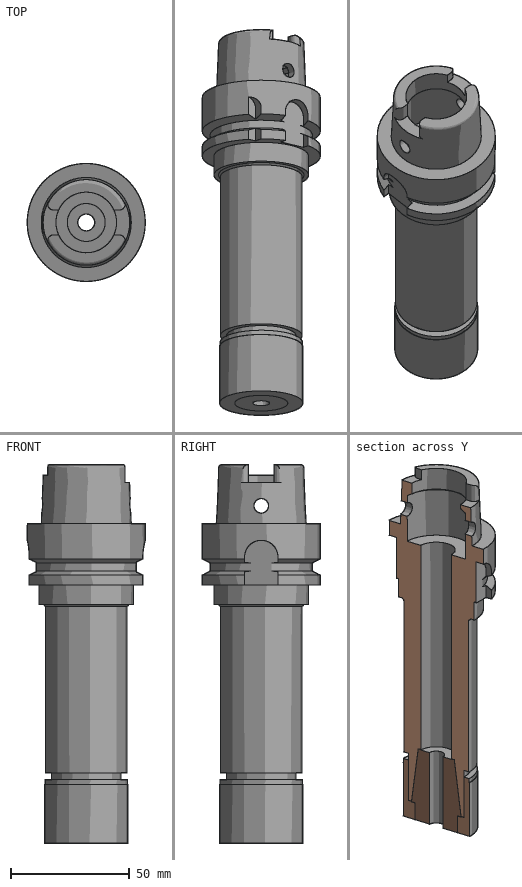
import cadquery as cq
import math

total_height = 160.0
flange_top = 135.0
flange_bottom = flange_top - 26.0
groove_top = 120.2
groove_bottom = 115.0
collar_bottom = 100.8
shank_bottom = 29.8
nut_top = 26.9
cavity_floor = 128.0
socket_top = 33.3
spigot_bottom = 8.0

taper_top_radius = 18.0
taper_base_radius = 19.0
rim_round = 1.6
flange_radius = 25.0
groove_radius = 21.6
groove_bevel = 1.8
collar_radius = 20.0
collar_cone = 0.8
shank_radius = 17.3
spigot_radius = 14.7

mouth_radius = 12.8
mouth_depth = 9.6
undercut_radius = 15.2
undercut_angle = 30.0
coolant_radius = 8.0

drive_slot_width = 10.5
left_slot_depth = 4.5
right_slot_depth = 7.5
slot_edge_round = 2.4
cross_hole_radius = 3.0
cross_hole_height = flange_top + 7.5

keyway_floor = 21.1
left_keyway_width = 12.2
right_keyway_width = 14.0
keyway_top = flange_top - 7.0
notch_floor = 15.8
notch_width = 9.6
notch_offset = 20.3

nut_radius = 17.6
land_radius = 17.5
land_height = 2.0
nut_mouth_radius = 11.2

collet_radius = 13.0
collet_angle = 8.0
collet_bore_radius = 3.5
collet_tip_radius = collet_radius - (socket_top - spigot_bottom) * math.tan(math.radians(collet_angle))


def turned(profile):
    """Solid of revolution about Z from (radius, height) points."""
    return cq.Workplane("XZ").polyline(profile).close().revolve(360, (0, 0, 0), (0, 1, 0))


def holder_outside():
    diagonal = rim_round * math.sqrt(0.5)
    rim_center = (taper_top_radius - rim_round, total_height - rim_round)
    outline = (
        cq.Workplane("XZ")
        .moveTo(0, total_height)
        .lineTo(rim_center[0], total_height)
        .threePointArc(
            (rim_center[0] + diagonal, rim_center[1] + diagonal),
            (taper_top_radius, rim_center[1]),
        )
        .lineTo(taper_base_radius, flange_top)
        .lineTo(flange_radius, flange_top)
        .lineTo(flange_radius, groove_top)
        .lineTo(groove_radius, groove_top - groove_bevel)
        .lineTo(groove_radius, groove_bottom)
        .lineTo(flange_radius, groove_bottom - groove_bevel)
        .lineTo(flange_radius, flange_bottom)
        .lineTo(collar_radius, flange_bottom)
        .lineTo(collar_radius, collar_bottom)
        .lineTo(shank_radius + collar_cone, collar_bottom)
        .lineTo(shank_radius, collar_bottom - collar_cone)
        .lineTo(shank_radius, shank_bottom)
        .lineTo(spigot_radius, shank_bottom)
        .lineTo(spigot_radius, spigot_bottom)
        .lineTo(0, spigot_bottom)
        .close()
    )
    return outline.revolve(360, (0, 0, 0), (0, 1, 0))


def holder_inside():
    """Clamping cavity with undercut, coolant passage and tapered collet socket."""
    undercut_top = total_height - mouth_depth
    undercut_drop = (undercut_radius - mouth_radius) * math.tan(math.radians(undercut_angle))
    return turned([
        (0, total_height),
        (mouth_radius, total_height),
        (mouth_radius, undercut_top),
        (undercut_radius, undercut_top - undercut_drop),
        (undercut_radius, cavity_floor),
        (coolant_radius, cavity_floor),
        (coolant_radius, socket_top),
        (collet_tip_radius, socket_top),
        (collet_radius, spigot_bottom),
        (0, spigot_bottom),
    ])


def drive_slot(side, depth):
    """Radial slot across the taper rim on one X side, with its outer upright edges rounded."""
    half_width = drive_slot_width / 2
    taper_slope = (taper_base_radius - taper_top_radius) / (total_height - flange_top)
    outer_radius = taper_top_radius + depth * taper_slope
    round_center_y = half_width + slot_edge_round
    round_center_radius = outer_radius - slot_edge_round
    round_center_x = math.sqrt(round_center_radius**2 - round_center_y**2)
    tangent_angle = math.atan2(round_center_y, round_center_x)
    middle_angle = (tangent_angle - math.pi / 2) / 2

    wall_end = (side * round_center_x, half_width)
    round_middle = (
        side * (round_center_x + slot_edge_round * math.cos(middle_angle)),
        round_center_y + slot_edge_round * math.sin(middle_angle),
    )
    round_end = (
        side * outer_radius * math.cos(tangent_angle),
        outer_radius * math.sin(tangent_angle),
    )
    half_slot = (
        cq.Workplane("XY", origin=(0, 0, total_height - depth))
        .lineTo(0, half_width)
        .lineTo(*wall_end)
        .threePointArc(round_middle, round_end)
        .lineTo(side * flange_radius, round_end[1])
        .lineTo(side * flange_radius, 0)
        .close()
        .extrude(depth)
    )
    return half_slot.union(half_slot.mirror("XZ"))


def keyway(side, floor, width, offset=0):
    """Round-topped flange keyway, open downwards, with a flat floor facing one X side."""
    radius = width / 2
    outline = (
        cq.Workplane("YZ", origin=(side * floor, offset, 0))
        .moveTo(-radius, flange_bottom)
        .lineTo(-radius, keyway_top - radius)
        .threePointArc((0, keyway_top), (radius, keyway_top - radius))
        .lineTo(radius, flange_bottom)
        .close()
    )
    return outline.extrude(side * flange_radius)


def cross_hole():
    return (
        cq.Workplane("YZ", origin=(0, 0, cross_hole_height))
        .circle(cross_hole_radius)
        .extrude(flange_radius, both=True)
    )


def make_holder():
    return (
        holder_outside()
        .cut(holder_inside())
        .cut(drive_slot(-1, left_slot_depth))
        .cut(drive_slot(1, right_slot_depth))
        .cut(cross_hole())
        .cut(keyway(-1, keyway_floor, left_keyway_width))
        .cut(keyway(1, keyway_floor, right_keyway_width))
        .cut(keyway(-1, notch_floor, notch_width, notch_offset))
        .solids()
    )


def make_nut():
    """Clamping nut that surrounds the holder spigot and retains the collet."""
    return turned([
        (nut_mouth_radius, 0),
        (nut_radius, 0),
        (nut_radius, nut_top - land_height),
        (land_radius, nut_top - land_height),
        (land_radius, nut_top),
        (spigot_radius, nut_top),
        (spigot_radius, spigot_bottom),
        (nut_mouth_radius, spigot_bottom),
    ])


def make_collet():
    """Tapered collet seated in the holder socket, with its nose flush in the nut mouth."""
    return turned([
        (collet_bore_radius, 0),
        (nut_mouth_radius, 0),
        (nut_mouth_radius, spigot_bottom),
        (collet_radius, spigot_bottom),
        (collet_tip_radius, socket_top),
        (collet_bore_radius, socket_top),
    ])


holder = make_holder()
nut = make_nut()
collet = make_collet()

result = cq.Compound.makeCompound([holder.val(), nut.val(), collet.val()])